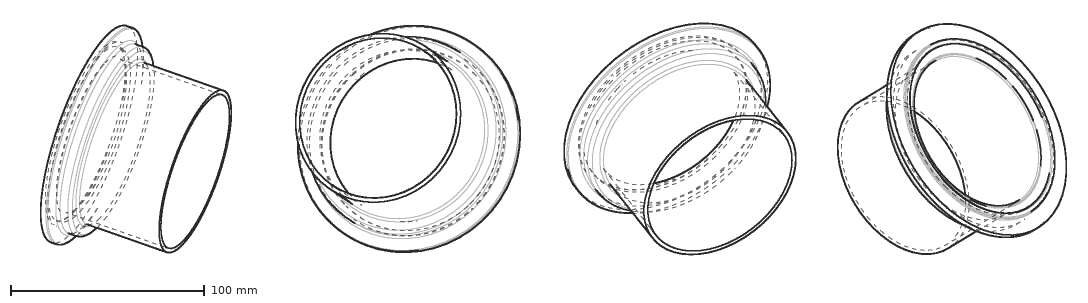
import cadquery as cq
import math

total_length = 62.5
flange_face_x = 1.8
flange_edge_x = 5.2
hub_back_x = 15.5

flange_diameter = 119.0
hub_diameter = 104.0
lip_diameter = 100.9
tube_diameter = 88.9
bore_diameter = 84.3

mouth_diameter = 94.7
groove_middle_diameter = 90.7
groove_depth = 4.0
rim_diameter = 86.9
rim_x = 3.2

flange_taper_angle = 20.0

lip_round = 0.5
mouth_round = 0.5
rim_round = 0.5
bore_round = 0.7
flange_round = 0.7
taper_round = 1.9
hub_round = 1.8
tube_round = 1.4


def round_circle(body, x, diameter, radius):
    """Fillet the circular edge of the given diameter at a place along X."""
    tolerance = 0.01

    def matches(edge):
        return (
            edge.geomType() == "CIRCLE"
            and abs(edge.arcCenter().x - x) < tolerance
            and abs(edge.radius() - diameter / 2) < tolerance
        )

    return body.edges().filter(matches).fillet(radius)


def ferrule_body():
    """Revolve the sharp-edged section around the X axis."""
    flange_radius = flange_diameter / 2
    hub_radius = hub_diameter / 2
    lip_radius = lip_diameter / 2
    tube_radius = tube_diameter / 2
    bore_radius = bore_diameter / 2
    mouth_radius = mouth_diameter / 2
    rim_radius = rim_diameter / 2

    taper_length = (flange_radius - hub_radius) * math.tan(math.radians(flange_taper_angle))
    taper_end_x = flange_edge_x + taper_length

    groove_bottom = (groove_depth, groove_middle_diameter / 2)

    section = (
        cq.Workplane("XY")
        .moveTo(0, mouth_radius)
        .lineTo(0, lip_radius)
        .lineTo(flange_face_x, lip_radius)
        .lineTo(flange_face_x, flange_radius)
        .lineTo(flange_edge_x, flange_radius)
        .lineTo(taper_end_x, hub_radius)
        .lineTo(hub_back_x, hub_radius)
        .lineTo(hub_back_x, tube_radius)
        .lineTo(total_length, tube_radius)
        .lineTo(total_length, bore_radius)
        .lineTo(rim_x, bore_radius)
        .lineTo(rim_x, rim_radius)
        .threePointArc(groove_bottom, (0, mouth_radius))
        .close()
    )
    body = section.revolve(360, (0, 0, 0), (1, 0, 0))

    rounded_edges = [
        (0, lip_diameter, lip_round),
        (flange_face_x, lip_diameter, lip_round),
        (0, mouth_diameter, mouth_round),
        (rim_x, rim_diameter, rim_round),
        (rim_x, bore_diameter, bore_round),
        (flange_edge_x, flange_diameter, flange_round),
        (taper_end_x, hub_diameter, taper_round),
        (hub_back_x, hub_diameter, hub_round),
        (hub_back_x, tube_diameter, tube_round),
    ]
    for x, diameter, radius in rounded_edges:
        body = round_circle(body, x, diameter, radius)
    return body


result = ferrule_body()